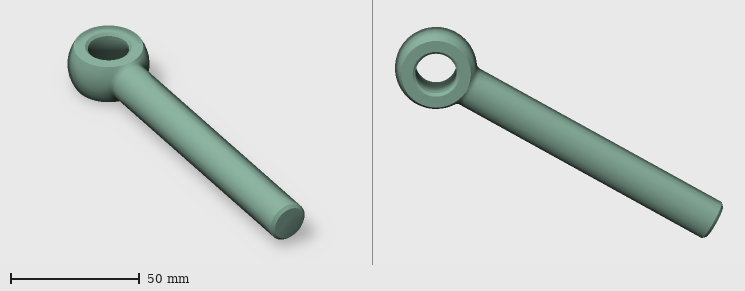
import cadquery as cq
import math

total_length = 140.9
ball_diameter = 32.0
eye_thickness = 17.0
rod_diameter = 16.0
hole_diameter = 16.0
neck_fillet = 2.5
rod_end_chamfer = 1.3
hole_chamfer = 1.05

ball_radius = ball_diameter / 2
rod_radius = rod_diameter / 2
rod_end = total_length - ball_radius

fillet_center_x = math.sqrt((ball_radius + neck_fillet) ** 2 - (rod_radius + neck_fillet) ** 2)
fillet_center_y = rod_radius + neck_fillet
ball_share = ball_radius / (ball_radius + neck_fillet)
ball_tangent = (fillet_center_x * ball_share, fillet_center_y * ball_share)
rod_tangent = (fillet_center_x, rod_radius)

ball_tangent_angle = math.atan2(-fillet_center_y, -fillet_center_x)
fillet_mid_angle = (ball_tangent_angle - math.pi / 2) / 2
fillet_mid = (
    fillet_center_x + neck_fillet * math.cos(fillet_mid_angle),
    fillet_center_y + neck_fillet * math.sin(fillet_mid_angle),
)


def ball_and_rod():
    """Ball, filleted neck and chamfered rod, revolved about the X axis."""
    profile = (
        cq.Workplane("XY")
        .moveTo(-ball_radius, 0)
        .threePointArc((0, ball_radius), ball_tangent)
        .threePointArc(fillet_mid, rod_tangent)
        .lineTo(rod_end - rod_end_chamfer, rod_radius)
        .lineTo(rod_end, rod_radius - rod_end_chamfer)
        .lineTo(rod_end, 0)
        .close()
    )
    return profile.revolve(360, (0, 0, 0), (1, 0, 0))


def flat_slab():
    """Slab that trims the ball to the two flat faces of the eye."""
    slab_length = 2 * total_length
    return cq.Workplane("XY").box(slab_length, ball_diameter, eye_thickness)


def eye_hole():
    """Through hole along Z with a chamfer at both mouths."""
    half_thickness = eye_thickness / 2
    hole_radius = hole_diameter / 2
    mouth_radius = hole_radius + hole_chamfer
    profile = (
        cq.Workplane("XZ")
        .moveTo(0, -half_thickness)
        .lineTo(mouth_radius, -half_thickness)
        .lineTo(hole_radius, -half_thickness + hole_chamfer)
        .lineTo(hole_radius, half_thickness - hole_chamfer)
        .lineTo(mouth_radius, half_thickness)
        .lineTo(0, half_thickness)
        .close()
    )
    return profile.revolve(360, (0, 0, 0), (0, 1, 0))


result = ball_and_rod().intersect(flat_slab()).cut(eye_hole())